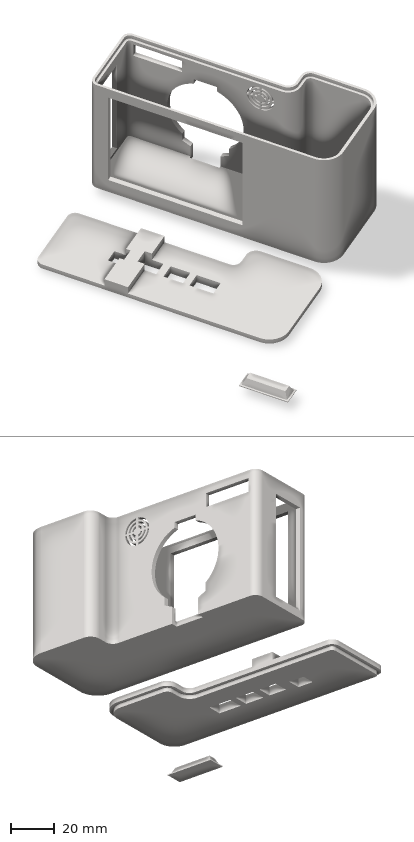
import cadquery as cq
BODY_WIDTH = 125.0
BODY_DEPTH = 38.0
GRIP_DEPTH = 52.0
GRIP_LEFT = 85.0
BODY_RADIUS = 4.0
GRIP_RADIUS = 10.0
GRIP_STEP_RADIUS = 5.0
STEP_ROOT_RADIUS = 4.0

LID_Y = -56.8
LID_FLANGE = 2.5
LID_LIP = 2.0
LID_LIP_INSET = 2.0
BAR_LEFT = 35.7
BAR_WIDTH = 12.0
BAR_HEIGHT = 4.0
SQUARE_WINDOW_X = (29.7, 38.0)
SQUARE_WINDOW_Y = (15.7, 22.5)
ROW_WINDOWS_X = ((44.1, 53.6), (57.3, 67.3), (70.6, 82.8))
ROW_WINDOWS_Y = (17.3, 24.9)

HOUSING_HEIGHT = 65.0
WALL = 2.5
FLOOR = WALL
RABBET_WIDTH = WALL / 2
RABBET_DEPTH = LID_LIP
INNER_BACK = BODY_DEPTH - WALL

SCREEN_X = (9.7, 78.3)
SCREEN_Z = (7.5, 59.6)

HATCH_Y = (6.0, 24.0)
HATCH_Z = (4.0, 57.0)

FINDER_X = (5.0, 29.9)
FINDER_Z = (53.9, 61.0)

LENS_X = 42.0
LENS_Z = 30.5
LENS_RADIUS = 19.5
LENS_NOTCH_WIDTH = 12.0
LENS_NOTCH_TOP = 51.9
LENS_SHOULDER_WIDTH = 23.8
LENS_SHOULDER_Z = 10.8
LENS_SLOT_WIDTH = 15.3
LENS_SLOT_Z = 8.8
LENS_FLOOR_REACH = 1.0

SPEAKER_X = 70.0
SPEAKER_Z = 54.0
SPEAKER_RING_RADII = (3.0, 5.0, 7.0)
SPEAKER_RING_WIDTH = 1.0
SPEAKER_SPOKE = 1.0

BUTTON_LEFT = 120.5
BUTTON_FRONT = -89.69
BUTTON_LENGTH = 25.0
BUTTON_WIDTH = 9.0
BUTTON_PLATE = 0.5
BUTTON_HEIGHT = 4.0
BUTTON_MARGIN = 0.9
BUTTON_TAPER = 1.6


def box_between(x_range, y_range, z_range):
    """Box filling the given X, Y and Z ranges."""
    sizes = [high - low for low, high in (x_range, y_range, z_range)]
    corner = (x_range[0], y_range[0], z_range[0])
    return cq.Workplane("XY").box(*sizes, centered=False).translate(corner)


def camera_prism(inset, bottom, top):
    """Rounded L outline, moved inwards by inset, extruded from bottom to top."""
    left = inset
    right = BODY_WIDTH - inset
    front = inset
    body_back = BODY_DEPTH - inset
    grip_left = GRIP_LEFT + inset
    grip_back = GRIP_DEPTH - inset
    corners = (
        (left, front, BODY_RADIUS - inset),
        (right, front, GRIP_RADIUS - inset),
        (right, grip_back, GRIP_RADIUS - inset),
        (grip_left, grip_back, GRIP_STEP_RADIUS - inset),
        (grip_left, body_back, STEP_ROOT_RADIUS + inset),
        (left, body_back, BODY_RADIUS - inset),
    )
    outline = [(x, y) for x, y, _ in corners]
    prism = cq.Workplane("XY").workplane(offset=bottom).polyline(outline).close().extrude(top - bottom)
    middle = (bottom + top) / 2
    for x, y, radius in corners:
        edge = cq.selectors.NearestToPointSelector((x, y, middle))
        prism = prism.edges(edge).fillet(radius)
    return prism


def lens_opening():
    """Round lens hole with a top notch and a stepped slot running down through the floor."""
    depth = WALL + LENS_FLOOR_REACH
    plane = cq.Workplane("XZ", origin=(LENS_X, BODY_DEPTH, 0))
    circle = plane.center(0, LENS_Z).circle(LENS_RADIUS).extrude(depth)

    half_notch = LENS_NOTCH_WIDTH / 2
    notch = box_between(
        (LENS_X - half_notch, LENS_X + half_notch),
        (BODY_DEPTH - depth, BODY_DEPTH),
        (LENS_Z, LENS_NOTCH_TOP),
    )

    half_shoulder = LENS_SHOULDER_WIDTH / 2
    half_slot = LENS_SLOT_WIDTH / 2
    right_side = [
        (half_shoulder, LENS_Z),
        (half_shoulder, LENS_SHOULDER_Z),
        (half_slot, LENS_SLOT_Z),
        (half_slot, 0),
    ]
    left_side = [(-x, z) for x, z in reversed(right_side)]
    slot = plane.polyline(right_side + left_side).close().extrude(depth)
    return circle.union(notch).union(slot)


def speaker_grille():
    """Concentric ring slots interrupted by a cross of spokes."""
    plane = cq.Workplane("XZ", origin=(SPEAKER_X, BODY_DEPTH, SPEAKER_Z))
    rings = cq.Workplane("XZ")
    for radius in SPEAKER_RING_RADII:
        rings = rings.add(plane.circle(radius).circle(radius - SPEAKER_RING_WIDTH).extrude(WALL))
    span = 2 * max(SPEAKER_RING_RADII)
    level_spoke = plane.rect(span, SPEAKER_SPOKE).extrude(WALL)
    upright_spoke = plane.rect(SPEAKER_SPOKE, span).extrude(WALL)
    return rings.combine().cut(level_spoke).cut(upright_spoke)


def make_housing():
    """Open-topped shell with a rim rabbet and openings in three walls."""
    shell = camera_prism(0, 0, HOUSING_HEIGHT)
    cavity = camera_prism(WALL, FLOOR, HOUSING_HEIGHT)
    rabbet = camera_prism(RABBET_WIDTH, HOUSING_HEIGHT - RABBET_DEPTH, HOUSING_HEIGHT)
    screen = box_between(SCREEN_X, (0, WALL), SCREEN_Z)
    hatch = box_between((0, WALL), HATCH_Y, HATCH_Z)
    finder = box_between(FINDER_X, (INNER_BACK, BODY_DEPTH), FINDER_Z)
    for cut in (cavity, rabbet, screen, hatch, finder, lens_opening(), speaker_grille()):
        shell = shell.cut(cut)
    return shell


def make_lid():
    """Flanged plate with a lip below, a raised bar above and four windows."""
    bottom = -LID_FLANGE - LID_LIP
    flange = camera_prism(0, -LID_FLANGE, 0)
    lip = camera_prism(LID_LIP_INSET, bottom, -LID_FLANGE)
    bar = box_between((BAR_LEFT, BAR_LEFT + BAR_WIDTH), (0, BODY_DEPTH), (0, BAR_HEIGHT))
    plate = flange.union(lip).union(bar)

    full_height = (bottom, BAR_HEIGHT)
    plate = plate.cut(box_between(SQUARE_WINDOW_X, SQUARE_WINDOW_Y, full_height))
    for window_x in ROW_WINDOWS_X:
        plate = plate.cut(box_between(window_x, ROW_WINDOWS_Y, full_height))
    return plate.translate((0, LID_Y, 0))


def make_button():
    """Thin base plate carrying a cap with four sloping sides."""
    center = (BUTTON_LEFT + BUTTON_LENGTH / 2, BUTTON_FRONT + BUTTON_WIDTH / 2, 0)
    plate = cq.Workplane("XY").rect(BUTTON_LENGTH, BUTTON_WIDTH).extrude(BUTTON_PLATE)
    cap_length = BUTTON_LENGTH - 2 * BUTTON_MARGIN
    cap_width = BUTTON_WIDTH - 2 * BUTTON_MARGIN
    cap = (
        cq.Workplane("XY")
        .workplane(offset=BUTTON_PLATE)
        .rect(cap_length, cap_width)
        .workplane(offset=BUTTON_HEIGHT - BUTTON_PLATE)
        .rect(cap_length - 2 * BUTTON_TAPER, cap_width - 2 * BUTTON_TAPER)
        .loft(ruled=True)
    )
    return plate.union(cap).translate(center)


housing = make_housing()
lid = make_lid()
button = make_button()
result = cq.Compound.makeCompound([body.solids().val() for body in (housing, lid, button)])